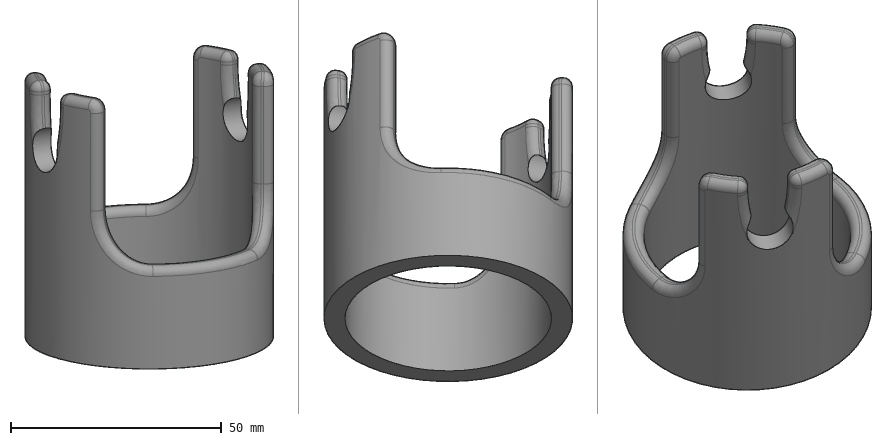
import cadquery as cq
import math

OUTER_RADIUS = 29.5
WALL = 5.0
INNER_RADIUS = OUTER_RADIUS - WALL
HEIGHT = 65.0

RIM_HEIGHT = 25.0
POST_HALF_ANGLE = 35.3
WINDOW_CORNER_RADIUS = 13.0
POST_CORNER_RADIUS = 3.0

SLOT_HALF_ANGLE = 10.6
SLOT_STRAIGHT_BOTTOM = 62.0
SLOT_WALL_RADIUS = 40.0
HOLE_RADIUS = 5.6
HOLE_HEIGHT = 50.2
SLOT_DEPTH_IN_HOLE = 2.0
SLOT_BOTTOM = HOLE_HEIGHT - SLOT_DEPTH_IN_HOLE

EDGE_FILLET = 2.2

OVERRUN = 2.0
CUTTER_RADII = (INNER_RADIUS - OVERRUN, OUTER_RADIUS + OVERRUN)
ARC_STEPS = 8
TOLERANCE = 0.001

QUARTER_TURN = OUTER_RADIUS * math.pi / 2
POST_SIDE = QUARTER_TURN - OUTER_RADIUS * math.radians(POST_HALF_ANGLE)
SLOT_WALL = QUARTER_TURN - OUTER_RADIUS * math.radians(SLOT_HALF_ANGLE)


def wrapped_point(radius, arc_length, z):
    """Point at a radius, its angle from +X set by an arc length on the outer cylinder."""
    angle = arc_length / OUTER_RADIUS
    return cq.Vector(radius * math.cos(angle), radius * math.sin(angle), z)


def level_face(start, end, z):
    """Flat ring sector at height z between two arc lengths."""
    inner, outer = [
        [wrapped_point(radius, arc_length, z) for arc_length in (start, (start + end) / 2, end)]
        for radius in CUTTER_RADII
    ]
    edges = [
        cq.Edge.makeThreePointArc(*inner),
        cq.Edge.makeLine(inner[-1], outer[-1]),
        cq.Edge.makeThreePointArc(*outer),
        cq.Edge.makeLine(outer[0], inner[0]),
    ]
    return cq.Face.makeFromWires(cq.Wire.assembleEdges(edges))


def upright_face(arc_length, bottom, top):
    """Flat radial face at one arc length, between two heights."""
    inner, outer = CUTTER_RADII
    corners = [
        wrapped_point(inner, arc_length, bottom),
        wrapped_point(outer, arc_length, bottom),
        wrapped_point(outer, arc_length, top),
        wrapped_point(inner, arc_length, top),
    ]
    return cq.Face.makeFromWires(cq.Wire.makePolygon(corners, close=True))


def arc_face(center, radius, start_degrees, end_degrees):
    """Face of radial lines through a circular arc on the unrolled cylinder."""
    unrolled = []
    for step in range(ARC_STEPS + 1):
        angle = math.radians(start_degrees + (end_degrees - start_degrees) * step / ARC_STEPS)
        arc_length = center[0] + radius * math.cos(angle)
        z = center[1] + radius * math.sin(angle)
        unrolled.append((arc_length, z))
    parameters = list(range(ARC_STEPS + 1))
    edges = []
    for cutter_radius in CUTTER_RADII:
        points = [wrapped_point(cutter_radius, *point) for point in unrolled]
        edges.append(cq.Edge.makeSpline(points, parameters=parameters))
    return cq.Face.makeRuledSurface(*edges)


def keep_largest(solid, cutting_faces):
    """Split a solid along a chain of faces and keep its largest piece."""
    pieces = solid.split(*cutting_faces).Solids()
    return max(pieces, key=lambda piece: piece.Volume())


def mirrored(faces, plane):
    """The faces together with their mirror images."""
    return faces + [face.mirror(plane) for face in faces]


def outline_faces():
    """Faces along the rims, up the sides of the posts and over their tops, all around the tube."""
    window_corner = (POST_SIDE - WINDOW_CORNER_RADIUS, RIM_HEIGHT + WINDOW_CORNER_RADIUS)
    post_corner = (POST_SIDE + POST_CORNER_RADIUS, HEIGHT - POST_CORNER_RADIUS)
    post_side = [
        arc_face(window_corner, WINDOW_CORNER_RADIUS, -90, 0),
        upright_face(POST_SIDE, window_corner[1], post_corner[1]),
        arc_face(post_corner, POST_CORNER_RADIUS, 180, 90),
    ]
    rim = [level_face(-window_corner[0], window_corner[0], RIM_HEIGHT)]
    post_top = [level_face(post_corner[0], 2 * QUARTER_TURN - post_corner[0], HEIGHT)]
    all_sides = mirrored(mirrored(post_side, "YZ"), "XZ")
    return all_sides + mirrored(rim, "YZ") + mirrored(post_top, "XZ")


def slot_faces():
    """Faces of the +Y slot: straight at the top, curving inwards, then a flat bottom."""
    curve_center = (SLOT_WALL + SLOT_WALL_RADIUS, SLOT_STRAIGHT_BOTTOM)
    curve_angle = math.asin((SLOT_STRAIGHT_BOTTOM - SLOT_BOTTOM) / SLOT_WALL_RADIUS)
    curve_end = curve_center[0] - SLOT_WALL_RADIUS * math.cos(curve_angle)
    wall = [
        upright_face(SLOT_WALL, SLOT_STRAIGHT_BOTTOM, HEIGHT + OVERRUN),
        arc_face(curve_center, SLOT_WALL_RADIUS, 180, 180 + math.degrees(curve_angle)),
    ]
    bottom = level_face(curve_end, 2 * QUARTER_TURN - curve_end, SLOT_BOTTOM)
    return mirrored(wall, "YZ") + [bottom]


def radius_at(point):
    """Distance of a point from the tube axis."""
    return math.hypot(point.x, point.y)


def is_rounded(edge):
    """True for the inner and outer outline edges and the top corner edge of the slot."""
    start = edge.startPoint()
    end = edge.endPoint()
    low_end = min(start.z, end.z)
    high_end = max(start.z, end.z)
    if low_end < RIM_HEIGHT - TOLERANCE:
        return False
    crosses_wall = abs(radius_at(start) - radius_at(end)) > TOLERANCE
    if crosses_wall:
        angle_from_y = math.degrees(math.atan2(abs(start.x), abs(start.y)))
        return low_end > HEIGHT - TOLERANCE and angle_from_y < SLOT_HALF_ANGLE + TOLERANCE
    on_slot_bottom = low_end > SLOT_BOTTOM - TOLERANCE and high_end < SLOT_BOTTOM + TOLERANCE
    return not on_slot_bottom


def slotted_tube():
    """Tube with its windows and slots cut, every edge still sharp."""
    tube = cq.Workplane("XY").circle(OUTER_RADIUS).circle(INNER_RADIUS).extrude(HEIGHT + OVERRUN)
    slot = slot_faces()
    opposite_slot = [face.mirror("XZ") for face in slot]
    solid = tube.val()
    for cutting_faces in (outline_faces(), slot, opposite_slot):
        solid = keep_largest(solid, cutting_faces)
    return solid



def cross_hole():
    """Round hole along Y through both posts."""
    profile = cq.Workplane("XZ").center(0, HOLE_HEIGHT).circle(HOLE_RADIUS)
    return profile.extrude(OUTER_RADIUS + OVERRUN, both=True)


sharp_body = slotted_tube()
rounded_edges = [edge for edge in sharp_body.Edges() if is_rounded(edge)]
body = cq.Workplane(sharp_body.fillet(EDGE_FILLET, rounded_edges))
result = body.cut(cross_hole())